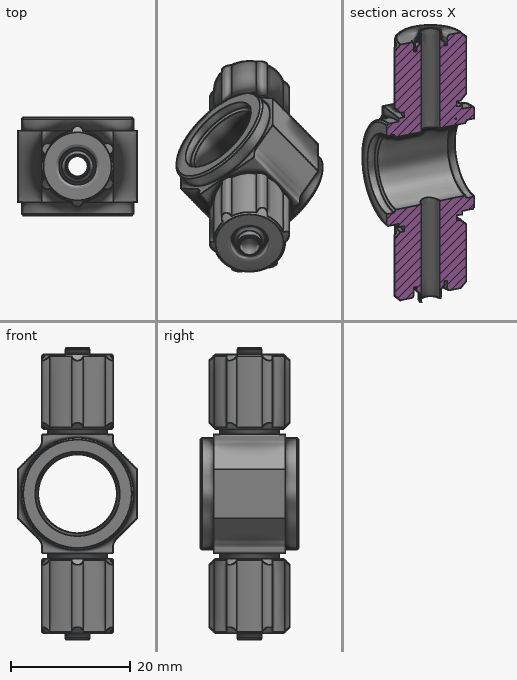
import cadquery as cq

length = 49.0
body_half = 10.0
neck_half = 6.0
body_depth = 12.0
flat_half = 4.1
pad_edge_round = 0.3
corner_fillet = 1.95

flange_dia = 18.8
flange_end_dia = 18.2
flange_depth = 16.5
flange_chamfer = (flange_dia - flange_end_dia) / 2
bore_dia = 13.2
counterbore_dia = 14.2
counterbore_depth = 1.35
bore_taper_depth = 0.3

collar_dia = 10.0
collar_overlap = 0.5
nut_start = 10.9
nut_end = 23.4
nut_dia = 12.0
nut_end_dia = 11.4
lug_count = 6
lug_radius = 1.0
lug_reach = 6.75
mouth_dia = 6.2
mouth_round = 0.6
mouth_floor = 21.55

pin_dia = 4.1
pin_hole_dia = 3.4
pin_tip_inset = 0.15
pin_tip_height = 0.35
pin_base_dia = 5.3
pin_base_top = 22.85


def cylinder(dia, start, end):
    """Cylinder about Z between two heights."""
    return cq.Workplane("XY").workplane(offset=start).circle(dia / 2).extrude(end - start)


def along_y(profile):
    """Revolve a profile of (radius, y) points about the Y axis."""
    return cq.Workplane("XY").polyline(profile).close().revolve(360, (0, 0, 0), (0, 1, 0))


def make_body():
    slope_top = body_half + flat_half - neck_half
    quarter = [(neck_half, body_half), (neck_half, slope_top), (body_half, flat_half)]
    right_side = quarter + [(x, -z) for x, z in reversed(quarter)]
    left_side = [(-x, z) for x, z in reversed(right_side)]
    block = cq.Workplane("XZ").polyline(right_side + left_side).close().extrude(body_depth / 2, both=True)
    box_x = (neck_half + body_half) / 2
    box_z = (slope_top + body_half) / 2
    inner_corners = cq.selectors.BoxSelector((-box_x, -body_depth, -box_z), (box_x, body_depth, box_z))
    block = block.edges("|Y").edges(inner_corners).fillet(corner_fillet)
    return block.faces("<Z or >Z").edges("|Y").fillet(pad_edge_round)


def make_flanges():
    flanges = cq.Workplane("XZ").circle(flange_dia / 2).extrude(flange_depth / 2, both=True)
    return flanges.faces("<Y or >Y").chamfer(flange_chamfer)


def make_bore():
    end = flange_depth / 2
    step = end - counterbore_depth
    taper = step - bore_taper_depth
    wide = counterbore_dia / 2
    narrow = bore_dia / 2
    half_profile = [(wide, end), (wide, step), (narrow, taper)]
    mirrored = [(r, -y) for r, y in reversed(half_profile)]
    return along_y([(0, end)] + half_profile + mirrored + [(0, -end)])


def make_nut():
    blank = cylinder(nut_dia, nut_start, nut_end)
    lugs = (
        cq.Workplane("XY").workplane(offset=nut_start)
        .polarArray(lug_reach - lug_radius, 90, 360, lug_count)
        .circle(lug_radius).extrude(nut_end - nut_start)
    )
    chamfer = lug_reach - nut_end_dia / 2
    envelope = cylinder(2 * lug_reach, nut_start, nut_end).faces("<Z or >Z").chamfer(chamfer)
    nut = blank.union(lugs).intersect(envelope)
    mouth = cylinder(mouth_dia, mouth_floor, nut_end)
    nut = nut.cut(mouth)
    rim = cq.selectors.RadiusNthSelector(0)
    return nut.faces(">Z").edges(rim).fillet(mouth_round)


def make_pin():
    tip = length / 2
    radius = pin_dia / 2
    base_radius = pin_base_dia / 2
    cone_start = pin_base_top - (base_radius - radius)
    profile = [
        (0, mouth_floor), (base_radius, mouth_floor), (base_radius, cone_start), (radius, pin_base_top),
        (radius, tip - pin_tip_height), (radius - pin_tip_inset, tip), (0, tip),
    ]
    return cq.Workplane("XZ").polyline(profile).close().revolve(360, (0, 0, 0), (0, 1, 0))


def make_connection():
    collar = cylinder(collar_dia, body_half - collar_overlap, nut_start)
    return collar.union(make_nut()).union(make_pin())


top_connection = make_connection()
bottom_connection = top_connection.mirror("XY")
pin_hole = cylinder(pin_hole_dia, -length / 2, length / 2)

result = (
    make_body()
    .union(make_flanges())
    .union(top_connection)
    .union(bottom_connection)
    .cut(make_bore())
    .cut(pin_hole)
)